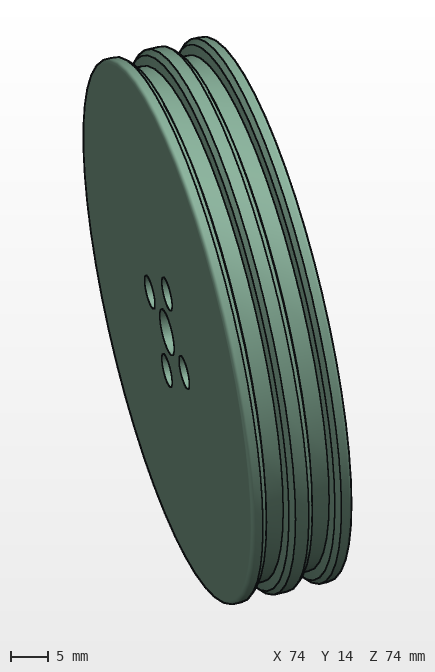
import cadquery as cq

wheel_diameter = 74.0
wheel_width = 14.0
outer_edge_fillet = 0.5

groove_floor_diameter = 70.0
groove_offset = 3.2
groove_floor_width = 2.4
groove_shoulder_width = 3.1
groove_mouth_width = 4.5
bevel_depth = 0.7

web_thickness = 4.0
hollow_diameter = 60.0

center_hole_diameter = 6.3
bolt_hole_diameter = 4.5
bolt_circle_diameter = 15.0
bolt_count = 4

front_y = -wheel_width / 2
wheel_radius = wheel_diameter / 2


def disc(diameter, start_y, length):
    """Cylinder on the Y axis, running from start_y toward +Y."""
    plane = cq.Plane(origin=(0, start_y, 0), xDir=(1, 0, 0), normal=(0, 1, 0))
    return cq.Workplane(plane).circle(diameter / 2).extrude(length)


def groove_outline(center_y):
    """Points (radius, y) of one groove, from its -Y rim edge to its +Y rim edge."""
    half_profile = [
        (wheel_radius, groove_mouth_width / 2),
        (wheel_radius - bevel_depth, groove_shoulder_width / 2),
        (groove_floor_diameter / 2, groove_floor_width / 2),
    ]
    falling_side = [(radius, center_y - half) for radius, half in half_profile]
    rising_side = [(radius, center_y + half) for radius, half in reversed(half_profile)]
    return falling_side + rising_side


def make_wheel():
    """Solid grooved wheel, revolved about the Y axis, with rounded outer edges."""
    back_y = -front_y
    outline = [
        (0, front_y),
        (wheel_radius, front_y),
        *groove_outline(-groove_offset),
        *groove_outline(groove_offset),
        (wheel_radius, back_y),
        (0, back_y),
    ]
    wheel = cq.Workplane("XY").polyline(outline).close().revolve(360, (0, 0, 0), (0, 1, 0))
    return wheel.faces("<Y or >Y").edges().fillet(outer_edge_fillet)


def make_web_holes():
    """Center hole and the ring of bolt holes around it."""
    holes = disc(center_hole_diameter, front_y, wheel_width)
    bolt_hole = disc(bolt_hole_diameter, front_y, wheel_width)
    bolt_hole = bolt_hole.translate((bolt_circle_diameter / 2, 0, 0))
    for index in range(bolt_count):
        angle = index * 360 / bolt_count
        holes = holes.union(bolt_hole.rotate((0, 0, 0), (0, 1, 0), angle))
    return holes


hollow = disc(hollow_diameter, front_y + web_thickness, wheel_width - web_thickness)
result = make_wheel().cut(hollow).cut(make_web_holes())